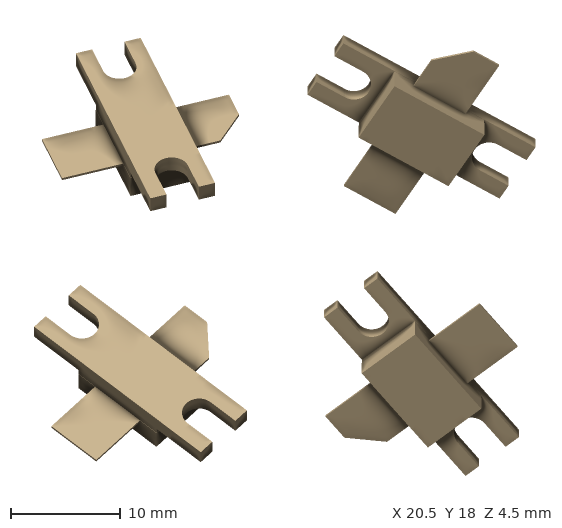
import cadquery as cq

flange_length = 20.5
flange_width = 6.23
flange_thickness = 1.6
slot_width = flange_width / 2
slot_depth = 4.6

body_length = 9.6
body_width = flange_width
frame_setback = 0.02
frame_thickness = 0.68
total_height = 4.5
lid_thickness = total_height - flange_thickness - frame_thickness

lead_span = 18.0
lead_width = 5.51
lead_thickness = 0.25
lead_corner_cut = lead_width / 2

flange_bottom = -flange_thickness
frame_bottom = flange_bottom - frame_thickness


def plate(length, width, thickness, top):
    """A centred rectangular block that hangs down from the height top."""
    return (
        cq.Workplane("XY")
        .workplane(offset=top)
        .rect(length, width)
        .extrude(-thickness)
    )


def make_flange():
    """Flange with a round-ended mounting slot open to each end."""
    flange = plate(flange_length, flange_width, flange_thickness, 0)
    slots = (
        cq.Workplane("XY")
        .pushPoints([(-flange_length / 2, 0), (flange_length / 2, 0)])
        .slot2D(2 * slot_depth, slot_width)
        .extrude(-flange_thickness)
    )
    return flange.cut(slots)


def make_leads():
    """One strip through the body, with a corner cut at its +X, +Y end."""
    strip = plate(lead_width, lead_span, lead_thickness, frame_bottom)
    return strip.edges(">X and >Y").chamfer(lead_corner_cut)


frame = plate(
    body_length - 2 * frame_setback,
    body_width - 2 * frame_setback,
    frame_thickness,
    flange_bottom,
)
lid = plate(body_length, body_width, lid_thickness, frame_bottom)

result = make_flange().union(frame).union(lid).union(make_leads())